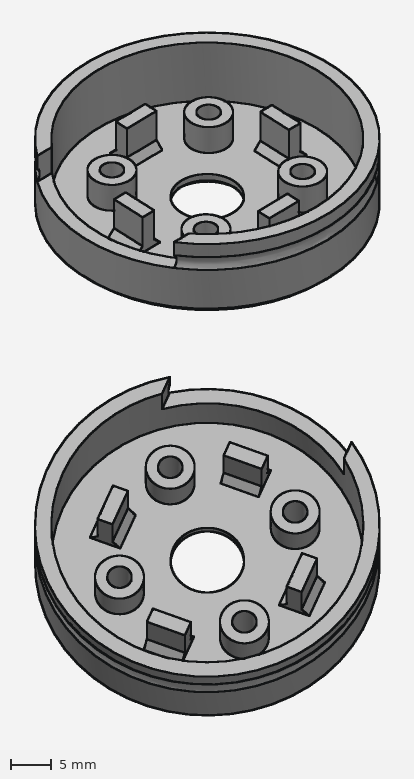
import cadquery as cq

outer_diameter = 42.2
inner_diameter = 38.2
height = 11.0
floor_thickness = 2.0
base_chamfer = 1.0
center_hole_diameter = 9.0
center_hole_chamfer = 1.0

groove_bottom = 7.0
groove_width = 2.0
groove_depth = 0.35

opening_width = 24.0

boss_diameter = 6.0
boss_hole_diameter = 3.0
boss_height = 4.0
boss_spacing = 16.5

tab_radius = 12.5
tab_width = 5.02
tab_thickness = 2.0
tab_height = 5.5
tab_foot = 1.0

outer_radius = outer_diameter / 2
inner_radius = inner_diameter / 2


def make_cup():
    """Revolve the chamfered, grooved wall together with the floor."""
    groove_top = groove_bottom + groove_width
    groove_middle = groove_bottom + groove_width / 2
    return (
        cq.Workplane("XZ")
        .lineTo(outer_radius - base_chamfer, 0)
        .lineTo(outer_radius, base_chamfer)
        .lineTo(outer_radius, groove_bottom)
        .threePointArc((outer_radius - groove_depth, groove_middle), (outer_radius, groove_top))
        .lineTo(outer_radius, height)
        .lineTo(inner_radius, height)
        .lineTo(inner_radius, floor_thickness)
        .lineTo(0, floor_thickness)
        .close()
        .revolve(360, (0, 0), (0, 1))
    )


def make_opening():
    """Block that removes the -Y rim down to the lower edge of the groove."""
    return cq.Workplane("XY").box(
        opening_width, outer_radius, height - groove_bottom, centered=(True, False, False)
    ).translate((0, -outer_radius, groove_bottom))


def make_tab():
    """Tab on the +X side, with a sloped foot on its inner and outer faces."""
    half_thickness = tab_thickness / 2
    half_foot = half_thickness + tab_foot
    outline = [
        (-half_foot, 0),
        (half_foot, 0),
        (half_thickness, tab_foot),
        (half_thickness, tab_height),
        (-half_thickness, tab_height),
        (-half_thickness, tab_foot),
    ]
    return (
        cq.Workplane("XZ")
        .polyline(outline)
        .close()
        .extrude(tab_width / 2, both=True)
        .translate((tab_radius, 0, floor_thickness))
    )


def make_center_hole():
    """Cutter for the central hole, flared by a chamfer at the underside."""
    hole_radius = center_hole_diameter / 2
    return (
        cq.Workplane("XZ")
        .lineTo(hole_radius + center_hole_chamfer, 0)
        .lineTo(hole_radius, center_hole_chamfer)
        .lineTo(hole_radius, floor_thickness)
        .lineTo(0, floor_thickness)
        .close()
        .revolve(360, (0, 0), (0, 1))
    )


def add_bosses(body):
    """Add four bosses on a square and drill them through the floor."""
    bosses = (
        cq.Workplane("XY", origin=(0, 0, floor_thickness))
        .rarray(boss_spacing, boss_spacing, 2, 2)
        .circle(boss_diameter / 2)
        .extrude(boss_height)
    )
    holes = (
        cq.Workplane("XY")
        .rarray(boss_spacing, boss_spacing, 2, 2)
        .circle(boss_hole_diameter / 2)
        .extrude(floor_thickness + boss_height)
    )
    return body.union(bosses).cut(holes)


result = make_cup().cut(make_opening())
result = add_bosses(result)
for angle in (0, 90, 180, 270):
    result = result.union(make_tab().rotate((0, 0, 0), (0, 0, 1), angle))
result = result.cut(make_center_hole())